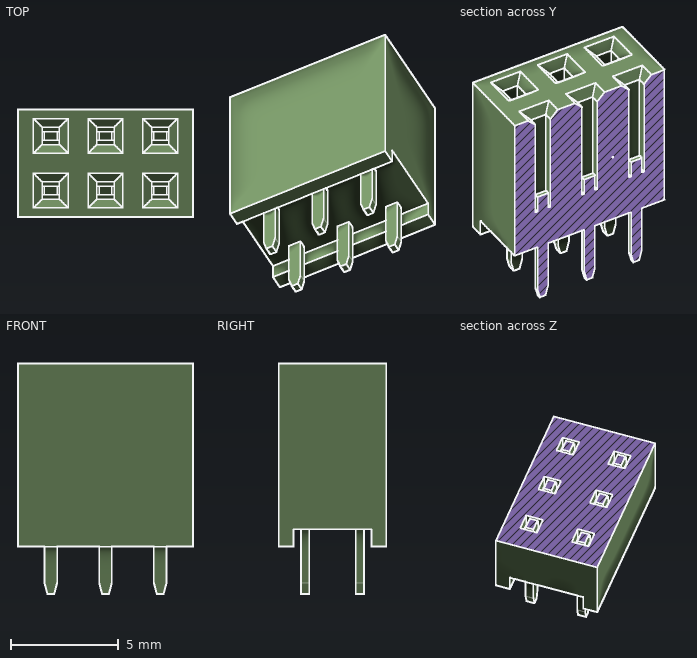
import cadquery as cq

housing_length = 8.12
housing_depth = 5.0
total_height = 10.7
pin_projection = 2.2
housing_bottom = pin_projection
housing_height = total_height - pin_projection
channel_width = 3.6
channel_height = 0.8
channel_top = housing_bottom + channel_height

columns = 3
rows = 2
pitch = 2.54

mouth_width = 1.6
shaft_width = 0.8
funnel_depth = (mouth_width - shaft_width) / 2
shaft_depth = 5.99
shaft_floor = total_height - shaft_depth

pin_width = 0.6
pin_thickness = 0.4
tip_width = 0.32
tip_length = 0.52
shoulder_height = 0.43
blade_height = 0.86
shoulder_top = shaft_floor + shoulder_height
pin_top = shoulder_top + blade_height


def make_housing():
    """Block with a channel along X cut into its underside."""
    block = (
        cq.Workplane("XY")
        .workplane(offset=housing_bottom)
        .rect(housing_length, housing_depth)
        .extrude(housing_height)
    )
    channel = (
        cq.Workplane("XY")
        .workplane(offset=housing_bottom)
        .rect(housing_length, channel_width)
        .extrude(channel_height)
    )
    return block.cut(channel)


def make_socket():
    """Solid to remove for one socket, centred on the Z axis."""
    shaft = (
        cq.Workplane("XY")
        .workplane(offset=shaft_floor)
        .rect(shaft_width, shaft_width)
        .extrude(shaft_depth)
    )
    funnel = (
        cq.Workplane("XY")
        .workplane(offset=total_height - funnel_depth)
        .rect(shaft_width, shaft_width)
        .workplane(offset=funnel_depth)
        .rect(mouth_width, mouth_width)
        .loft(ruled=True)
    )
    return shaft.union(funnel)


def make_contact():
    """One contact, centred on the Z axis with its tip at Z = 0."""
    pin = (
        cq.Workplane("XZ")
        .moveTo(-tip_width / 2, 0)
        .lineTo(tip_width / 2, 0)
        .lineTo(pin_width / 2, tip_length)
        .lineTo(pin_width / 2, pin_top)
        .lineTo(-pin_width / 2, pin_top)
        .lineTo(-pin_width / 2, tip_length)
        .close()
        .extrude(pin_thickness / 2, both=True)
    )
    shoulder = (
        cq.Workplane("XY")
        .workplane(offset=channel_top)
        .rect(shaft_width, pin_thickness)
        .extrude(shoulder_top - channel_top)
    )
    return pin.union(shoulder)


socket = make_socket()
contact = make_contact()
result = make_housing()
for column in range(columns):
    for row in range(rows):
        x = (column - (columns - 1) / 2) * pitch
        y = (row - (rows - 1) / 2) * pitch
        result = result.cut(socket.translate((x, y, 0)))
        result = result.union(contact.translate((x, y, 0)))